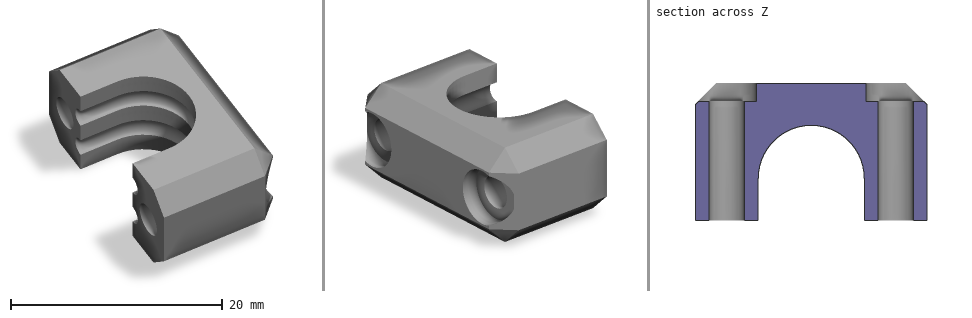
import cadquery as cq

width = 22.0
depth = 13.0
height = 10.0
chamfer = 2.0

channel_radius = 5.0
channel_centre_y = 4.0

groove_radius = 1.0
groove_spacing = 4.0

screw_offset_x = 8.0
screw_diameter = 3.3
head_diameter = 5.6
head_depth = 1.7

mid_z = height / 2


def make_block():
    """Block with all edges chamfered except the front rim; each back corner becomes a triangle."""
    block = cq.Workplane("XY").box(width, depth, height, centered=(True, False, False))
    return block.edges("|Y or >Y").chamfer(chamfer)


def channel_wall(z):
    """U-shaped wall line at height z: a half round at the back, straight to the front face."""
    return (
        cq.Workplane("XY", origin=(0, 0, z))
        .moveTo(-channel_radius, 0)
        .lineTo(-channel_radius, channel_centre_y)
        .threePointArc((0, channel_centre_y + channel_radius), (channel_radius, channel_centre_y))
        .lineTo(channel_radius, 0)
    )


def make_channel():
    """Cutter for the channel, running the full height of the block."""
    return channel_wall(0).close().extrude(height)


def make_groove(z):
    """Round cutter following the channel wall, centred on the wall at height z."""
    profile = cq.Workplane("XZ", origin=(-channel_radius, 0, z)).circle(groove_radius)
    return profile.sweep(channel_wall(z))


def make_screw_hole(x):
    """Through hole along Y with a larger round recess at the back."""
    front = cq.Workplane("XZ", origin=(x, 0, mid_z))
    shank = front.circle(screw_diameter / 2).extrude(-depth)
    back = cq.Workplane("XZ", origin=(x, depth, mid_z))
    head = back.circle(head_diameter / 2).extrude(head_depth)
    return shank.union(head)


result = make_block().cut(make_channel())
for side in (-1, 1):
    result = result.cut(make_groove(mid_z + side * groove_spacing / 2))
    result = result.cut(make_screw_hole(side * screw_offset_x))